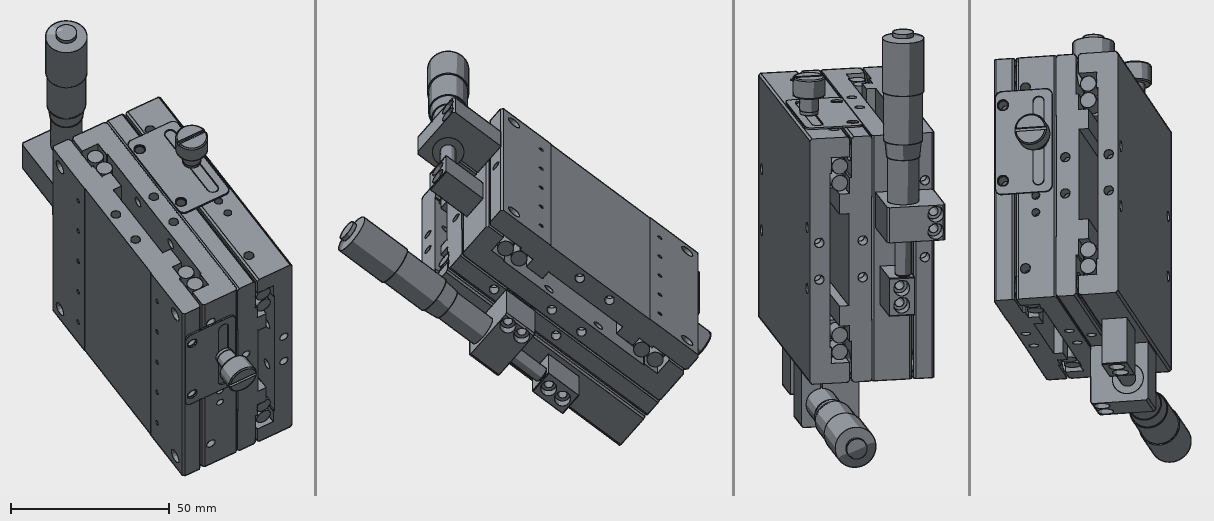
import cadquery as cq
import math


overall_height = 136.3
plate_side = 80.0
half_side = plate_side / 2
stage_depth = 40.0 / 2
edge_chamfer = 0.7

table_edge_y = 6.5
rail_seat_y = 7.2
table_floor_y = 7.5
ledge_y = 10.5
relief_half_width = 20.0
relief_depth = 0.1

rail_back_y = 13.1
rail_clearance = 0.4
rail_outer_x = 33.5
rail_inner_x = 21.5
rail_middle_x = (rail_outer_x + rail_inner_x) / 2
rail_mid_y = (rail_seat_y + rail_back_y) / 2
rail_half_width = rail_middle_x - rail_inner_x
side_clearance = 0.8
ledge_inner_x = 15.0
rail_end_recess = 7.5
rail_half_length = half_side - rail_end_recess
rail_stop_diameter = 5.0
rail_stop_height = 6.4
rail_stop_offset = 2.7

tapped_diameter = 3.0
mount_diameter = 2.5
tapped_depth = 4.8
drill_tip_angle = 118
end_hole_x = 6.0
end_hole_inset = 3.0
corner_hole_offset = 35.0
corner_hole_diameter = 4.5
corner_counterbore_diameter = 8.0
corner_counterbore_floor_y = 2.5
pin_hole_diameter = 1.5
pin_hole_depth = 3.0
pin_hole_x = 24.0
pin_hole_pitch = 15.0
pin_hole_count = 5
fixing_hole_diameter = 3.3
fixing_hole_x = 10.0
fixing_hole_z = 35.5
preload_hole_diameter = 3.1
preload_hole_pitch = 30.0

micrometer_x = -51.7
micrometer_y = 12.4
counterbore_diameter = 5.0
counterbore_depth = 4.0
mount_pitch = 5.6

bracket_y = (0.4, 19.0)
bracket_height = 11.5
bracket_z = 15.8
bracket_screw_y = 3.4
slit_width = 0.7

block_length = 15.0
block_y = (9.4, 17.5)
block_height = 12.4
block_z = -8.9
block_screw_y = 13.5
block_chamfer = 0.3

clamp_z = 12.0
clamp_length = 34.1
clamp_y = (0.5, 18.8)
clamp_thickness = 0.5
clamp_corner_radius = 2.0
clamp_slot_length = 29.3
clamp_slot_width = 3.5
clamp_hole_diameter = 3.5
clamp_screw_y = 3.0
clamp_screw_offset = 12.5
screw_y = 14.5
screw_z = 11.9
stud_diameter = 2.9
shank_diameter = 6.0
shank_collar_diameter = 5.7
shank_collar_height = 1.1
head_bottom_x = 46.3
head_top_x = 52.6
head_diameter = 10.1
head_chamfer = 0.4
head_slot_width = 1.1
head_slot_depth = 0.8

sleeve_diameter = 10.0
spindle_diameter = 5.0
spindle_tip_chamfer = 0.4
taper_small_diameter = 10.5
taper_large_diameter = 11.6
barrel_diameter = 12.3
thimble_diameter = 13.1
cap_diameter = 6.5
cap_dome_rise = 0.5
taper_bottom_z = 36.0
taper_top_z = 41.3
thimble_bottom_z = 57.2
thimble_top_z = 74.5
thimble_crown_z = 75.2
cap_top_z = 77.1

bracket_length = overall_height - cap_top_z - half_side

bracket_mount_z = [bracket_z - mount_pitch / 2, bracket_z + mount_pitch / 2]
block_mount_z = [block_z - mount_pitch / 2, block_z + mount_pitch / 2]
clamp_mount_z = [clamp_z - clamp_screw_offset, clamp_z + clamp_screw_offset]


def box(x_range, y_range, z_range):
    """Box between the two limits given for each axis."""
    sizes = [limits[1] - limits[0] for limits in (x_range, y_range, z_range)]
    return cq.Workplane("XY").box(*sizes, centered=False).translate((x_range[0], y_range[0], z_range[0]))


def rod(start, direction, diameter, length):
    """Cylinder from a start point along a direction."""
    return cq.Workplane(cq.Solid.makeCylinder(diameter / 2, length, cq.Vector(*start), cq.Vector(*direction)))


def drilled_hole(start, direction, diameter, depth=tapped_depth):
    """Blind hole with the conical bottom of a drill."""
    radius = diameter / 2
    tip_height = radius / math.tan(math.radians(drill_tip_angle / 2))
    axis = cq.Vector(*direction)
    tip = cq.Solid.makeCone(radius, 0, tip_height, cq.Vector(*start) + axis * depth, axis)
    return rod(start, direction, diameter, depth).union(cq.Workplane(tip))


def cut_all(body, tools):
    """The body with every tool cut from it."""
    for tool in tools:
        body = body.cut(tool)
    return body


def symmetric_plate(half_outline):
    """Plate with a mirrored XY outline, running the full length along Z."""
    mirrored = [(-x, y) for x, y in reversed(half_outline)]
    outline = cq.Workplane("XY").polyline(half_outline + mirrored).close()
    return outline.extrude(half_side, both=True)


def rail(side, middle_to_center):
    """One rail with a stop on each end; middle_to_center is -1 for the inner rail and 1 for the outer."""
    near = side * rail_middle_x
    far = side * (rail_middle_x + middle_to_center * rail_half_width)
    stop_x = side * (rail_middle_x + middle_to_center * rail_stop_offset)
    x_range = sorted((near, far))
    bar = box(x_range, (rail_seat_y, rail_back_y), (-rail_half_length, rail_half_length))
    for end in (-1, 1):
        start = (stop_x, rail_mid_y, end * rail_half_length)
        bar = bar.union(rod(start, (0, 0, end), rail_stop_diameter, rail_stop_height))
    return bar


def end_holes(y):
    """Pairs of tapped holes in both Z ends of a plate."""
    return [
        drilled_hole((x, y, end * half_side), (0, 0, -end), tapped_diameter)
        for end in (-1, 1)
        for x in (-end_hole_x, end_hole_x)
    ]


def side_holes(y, heights, diameter):
    """Blind holes in both X sides of a plate."""
    return [
        drilled_hole((side * half_side, y, z), (-side, 0, 0), diameter)
        for side in (-1, 1)
        for z in heights
    ]


def mount_block(length, y_range, center_z, height, screw_y, screw_heights):
    """Block standing on the -X side of a plate, with two counterbored screw holes."""
    outer_x = -half_side - length
    z_range = (center_z - height / 2, center_z + height / 2)
    block = box((outer_x, -half_side), y_range, z_range)
    holes = []
    for z in screw_heights:
        holes.append(rod((outer_x, screw_y, z), (1, 0, 0), counterbore_diameter, counterbore_depth))
        holes.append(rod((outer_x, screw_y, z), (1, 0, 0), tapped_diameter, length))
    return block, holes


def make_bracket():
    """Micrometer bracket, slit from its bore to the plate side."""
    block, holes = mount_block(
        bracket_length, bracket_y, bracket_z, bracket_height, bracket_screw_y, bracket_mount_z
    )
    bracket = block.edges("<X and |Z").chamfer(edge_chamfer)
    bottom_z = bracket_z - bracket_height / 2
    top_z = bracket_z + bracket_height / 2
    bore = rod((micrometer_x, micrometer_y, bottom_z), (0, 0, 1), sleeve_diameter, bracket_height)
    slit_y = (micrometer_y - slit_width / 2, micrometer_y + slit_width / 2)
    slit = box((micrometer_x, -half_side), slit_y, (bottom_z, top_z))
    return cut_all(bracket, holes + [bore, slit])


def make_stop_block():
    """Block that the spindle pushes against."""
    block, holes = mount_block(block_length, block_y, block_z, block_height, block_screw_y, block_mount_z)
    return cut_all(block.edges("<X and |Y").chamfer(block_chamfer), holes)


def make_clamp_plate():
    """Thin slotted plate on the +X side."""
    z_range = (clamp_z - clamp_length / 2, clamp_z + clamp_length / 2)
    plate = box((half_side, half_side + clamp_thickness), clamp_y, z_range)
    plate = plate.edges("|X").fillet(clamp_corner_radius)
    slot = (
        cq.Workplane("YZ", origin=(half_side, screw_y, clamp_z))
        .slot2D(clamp_slot_length, clamp_slot_width, 90)
        .extrude(clamp_thickness)
    )
    holes = [
        rod((half_side, clamp_screw_y, z), (1, 0, 0), clamp_hole_diameter, clamp_thickness)
        for z in clamp_mount_z
    ]
    return cut_all(plate, holes + [slot])


def make_thumbscrew():
    """Thumbscrew: stud through the clamp slot, shank on the clamp plate and slotted head."""
    clamp_face_x = half_side + clamp_thickness
    shank_start_x = clamp_face_x + shank_collar_height
    direction = (1, 0, 0)
    stud = rod((half_side, screw_y, screw_z), direction, stud_diameter, clamp_thickness)
    collar = rod((clamp_face_x, screw_y, screw_z), direction, shank_collar_diameter, shank_collar_height)
    shank = rod((shank_start_x, screw_y, screw_z), direction, shank_diameter, head_bottom_x - shank_start_x)
    head = rod((head_bottom_x, screw_y, screw_z), direction, head_diameter, head_top_x - head_bottom_x)
    head = head.edges().edges("<X or >X").chamfer(head_chamfer)
    slot = box(
        (head_top_x - head_slot_depth, head_top_x),
        (screw_y - head_diameter / 2, screw_y + head_diameter / 2),
        (screw_z - head_slot_width / 2, screw_z + head_slot_width / 2),
    )
    return stud.union(collar).union(shank).union(head.cut(slot))


def make_table():
    """Front plate of a stage with the inner rails, the micrometer bracket and the clamp plate."""
    seat_outer_x = rail_middle_x - side_clearance
    table = symmetric_plate([
        (relief_half_width, relief_depth),
        (relief_half_width, 0),
        (half_side - edge_chamfer, 0),
        (half_side, edge_chamfer),
        (half_side, table_edge_y - edge_chamfer),
        (half_side - edge_chamfer, table_edge_y),
        (seat_outer_x, table_edge_y),
        (seat_outer_x, rail_seat_y),
        (rail_inner_x, rail_seat_y),
        (rail_inner_x, ledge_y),
        (ledge_inner_x, ledge_y),
        (ledge_inner_x, table_floor_y),
    ])
    for side in (-1, 1):
        table = table.union(rail(side, -1))

    head_space = table_edge_y - corner_counterbore_floor_y
    corner_holes = []
    for x in (-corner_hole_offset, corner_hole_offset):
        for z in (-corner_hole_offset, corner_hole_offset):
            counterbore_start = (x, corner_counterbore_floor_y, z)
            corner_holes.append(rod((x, 0, z), (0, 1, 0), corner_hole_diameter, table_edge_y))
            corner_holes.append(
                rod(counterbore_start, (0, 1, 0), corner_counterbore_diameter, head_space)
            )
    first_pin_z = -pin_hole_pitch * (pin_hole_count - 1) / 2
    pin_holes = [
        rod((x, 0, first_pin_z + row * pin_hole_pitch), (0, 1, 0), pin_hole_diameter, pin_hole_depth)
        for x in (-pin_hole_x, pin_hole_x)
        for row in range(pin_hole_count)
    ]
    table = cut_all(table, corner_holes + pin_holes + end_holes(end_hole_inset))
    table = cut_all(table, side_holes(clamp_screw_y, clamp_mount_z, tapped_diameter))
    table = cut_all(table, side_holes(bracket_screw_y, bracket_mount_z, mount_diameter))
    return table.union(make_bracket()).union(make_clamp_plate())


def make_base():
    """Rear plate of a stage with the outer rails, the stop block and the thumbscrew."""
    recess_half_width = rail_middle_x + side_clearance
    recess_floor_y = rail_back_y + rail_clearance
    base = symmetric_plate([
        (half_side - edge_chamfer, stage_depth),
        (half_side, stage_depth - edge_chamfer),
        (half_side, rail_seat_y + edge_chamfer),
        (half_side - edge_chamfer, rail_seat_y),
        (rail_outer_x, rail_seat_y),
        (rail_outer_x, rail_back_y),
        (recess_half_width, rail_back_y),
        (recess_half_width, recess_floor_y),
    ])
    preload_holes = [
        rod((rail_outer_x, rail_mid_y, z), (1, 0, 0), preload_hole_diameter, half_side - rail_outer_x)
        for z in (-preload_hole_pitch, 0, preload_hole_pitch)
    ]
    fixing_holes = [
        rod((x, recess_floor_y, z), (0, 1, 0), fixing_hole_diameter, stage_depth - recess_floor_y)
        for x in (-fixing_hole_x, fixing_hole_x)
        for z in (-fixing_hole_z, fixing_hole_z)
    ]
    base = cut_all(base, preload_holes + fixing_holes + end_holes(stage_depth - end_hole_inset))
    base = cut_all(base, side_holes(block_screw_y, block_mount_z, mount_diameter))
    for side in (-1, 1):
        base = base.union(rail(side, 1))
    return base.union(make_stop_block()).union(make_thumbscrew())


def make_micrometer():
    """Micrometer turned about its axis, its spindle resting on the stop block."""
    tip_z = block_z + block_height / 2
    sleeve_bottom_z = bracket_z - bracket_height / 2
    outline = [
        (0, tip_z),
        (spindle_diameter / 2 - spindle_tip_chamfer, tip_z),
        (spindle_diameter / 2, tip_z + spindle_tip_chamfer),
        (spindle_diameter / 2, sleeve_bottom_z),
        (sleeve_diameter / 2, sleeve_bottom_z),
        (sleeve_diameter / 2, taper_bottom_z),
        (taper_small_diameter / 2, taper_bottom_z),
        (taper_large_diameter / 2, taper_top_z),
        (barrel_diameter / 2, taper_top_z),
        (barrel_diameter / 2, thimble_bottom_z),
        (thimble_diameter / 2, thimble_bottom_z),
        (thimble_diameter / 2, thimble_top_z),
        (cap_diameter / 2, thimble_crown_z),
        (cap_diameter / 2, cap_top_z - cap_dome_rise),
    ]
    dome_radius = ((cap_diameter / 2) ** 2 + cap_dome_rise**2) / (2 * cap_dome_rise)
    dome_mid_x = cap_diameter / 4
    dome_mid_z = cap_top_z - dome_radius + math.sqrt(dome_radius**2 - dome_mid_x**2)
    profile = cq.Workplane("XZ").polyline(outline).threePointArc((dome_mid_x, dome_mid_z), (0, cap_top_z))
    turned = profile.close().revolve(360, (0, 0), (0, 1))
    return turned.translate((micrometer_x, micrometer_y, 0))


def make_rear(body):
    """Copy of a front stage body moved into the rear stage."""
    return body.rotate((0, 0, 0), (0, 1, 0), -90).translate((0, stage_depth, 0))


bodies = []
for front_body in (make_base(), make_table(), make_micrometer()):
    bodies.append(front_body.val())
    bodies.append(make_rear(front_body).val())

result = cq.Compound.makeCompound(bodies)